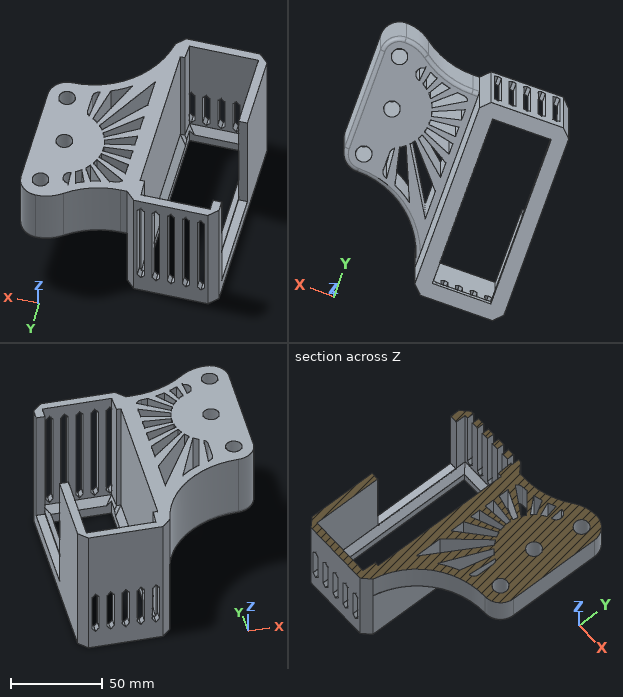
import cadquery as cq
import math

BOX_X = 52.0
BOX_Y = 115.0
HEIGHT = 80.0
CORNER = 5.0
SIDE_WALL = 5.0
END_WALL = 4.6

LEDGE_TOP = 10.0
LEDGE_WIDTH = 4.0
PILLAR_ROOT_X = 44.0
PILLAR_TIP_X = 44.5
RECESS_X = BOX_X - SIDE_WALL
RECESS_Y0 = 13.0
RECESS_Y1 = 100.8

WINDOW_Y0 = 48.0
WINDOW_Y1 = 104.0
SILL_Z = 9.0

VENT_COUNT = 5
VENT_PITCH = 8.5
VENT_WIDTH = 4.0
VENT_POINT = 2.5
VENT_BOTTOM = 11.2
FRONT_VENT_TOP = 38.2
BACK_VENT_TOP = 73.8

BRACKET_DEPTH = 40.0
BRACKET_X1 = 111.0
BRACKET_Y0 = 45.0
BRACKET_Y1 = 125.0
BRACKET_CORNER = 11.0
BRACKET_EMBED = 2.0
SWEEP_RADIUS = 49.0
SHOULDER_RADIUS = 24.0
BOTTOM_FILLET = 2.5

HOLE_DIAMETER = 9.0
HUB_X = 94.0
HUB_RADIUS = 22.0
FAN_X = 87.0
FAN_PITCH = 18.0
FAN_OPENING = 10.3
FAN_SIDE_COUNT = 5
UPPER_RIM = 4.8
LOWER_RIM = 5.0
FAN_X0 = 56.0
FAN_LOWER_X1 = 86.9
FAN_FILLET = 4.0
ROUND_END_X = 84.5
ROUND_END_Y = 108.9
ROUND_END_RADIUS = 3.9
FAN_REACH = 100.0

BRACKET_Z0 = HEIGHT - BRACKET_DEPTH
CORNER_X = BRACKET_X1 - BRACKET_CORNER
MIDDLE_Y = (BRACKET_Y0 + BRACKET_Y1) / 2


def block(x0, x1, y0, y1, z0, z1):
    return cq.Workplane("XY").box(x1 - x0, y1 - y0, z1 - z0, centered=False).translate((x0, y0, z0))


def cavity():
    """Space inside the box, narrowing over the ledge to a straight opening."""
    y0 = END_WALL
    y1 = BOX_Y - END_WALL
    outline = [
        (SIDE_WALL, y0),
        (PILLAR_ROOT_X, y0),
        (PILLAR_TIP_X, RECESS_Y0),
        (RECESS_X, RECESS_Y0),
        (RECESS_X, RECESS_Y1),
        (PILLAR_TIP_X, RECESS_Y1),
        (PILLAR_ROOT_X, y1),
        (SIDE_WALL, y1),
    ]
    rim = cq.Workplane("XY", origin=(0, 0, LEDGE_TOP)).polyline(outline).close()
    upper = rim.extrude(HEIGHT - LEDGE_TOP)
    rim_wire = rim.wire().val()
    foot_wire = rim_wire.offset2D(-LEDGE_WIDTH, "intersection")[0].translate((0, 0, -LEDGE_WIDTH))
    ledge = cq.Workplane(cq.Solid.makeLoft([rim_wire, foot_wire], True))
    opening = block(
        SIDE_WALL + LEDGE_WIDTH, RECESS_X - LEDGE_WIDTH,
        y0 + LEDGE_WIDTH, y1 - LEDGE_WIDTH,
        0, LEDGE_TOP,
    )
    return upper.union(ledge).union(opening)


def vents(wall_y, top):
    """Row of upright slots with pointed ends through the end wall that starts at wall_y."""
    half = VENT_WIDTH / 2
    row = cq.Workplane("XZ", origin=(0, wall_y, 0))
    for index in range(VENT_COUNT):
        x = BOX_X / 2 + (index - (VENT_COUNT - 1) / 2) * VENT_PITCH
        row = row.polyline([
            (x, VENT_BOTTOM),
            (x + half, VENT_BOTTOM + VENT_POINT),
            (x + half, top - VENT_POINT),
            (x, top),
            (x - half, top - VENT_POINT),
            (x - half, VENT_BOTTOM + VENT_POINT),
        ]).close()
    return row.extrude(-END_WALL)


def on_circle(center, radius, degrees):
    angle = math.radians(degrees)
    return center[0] + radius * math.cos(angle), center[1] + radius * math.sin(angle)


def bracket_plate(inset):
    """Bracket outline moved inward by inset along its curved and outer edges."""
    run = CORNER_X - BOX_X
    rise = BRACKET_Y0 - CORNER
    lower_radius = (run**2 + rise**2) / (2 * rise)
    lower_center = (CORNER_X, BRACKET_Y0 - lower_radius)
    lower_start = math.degrees(math.atan2(CORNER - lower_center[1], -run))

    shoulder_center = (CORNER_X, BRACKET_Y1 - SHOULDER_RADIUS)
    sweep_y = BOX_Y - CORNER + SWEEP_RADIUS
    lift = sweep_y - shoulder_center[1]
    sweep_x = CORNER_X - math.sqrt((SWEEP_RADIUS + SHOULDER_RADIUS)**2 - lift**2)
    sweep_center = (sweep_x, sweep_y)
    turn = math.degrees(math.atan2(lift, sweep_x - CORNER_X))

    lower = lower_radius + inset
    sweep = SWEEP_RADIUS + inset
    shoulder = SHOULDER_RADIUS - inset
    corner = BRACKET_CORNER - inset
    low_corner = (CORNER_X, BRACKET_Y0 + BRACKET_CORNER)
    high_corner = (CORNER_X, BRACKET_Y1 - BRACKET_CORNER)

    return (
        cq.Workplane("XY", origin=(0, 0, BRACKET_Z0))
        .moveTo(*on_circle(lower_center, lower, lower_start))
        .threePointArc(
            on_circle(lower_center, lower, (lower_start + 90) / 2),
            on_circle(lower_center, lower, 90),
        )
        .threePointArc(on_circle(low_corner, corner, -45), on_circle(low_corner, corner, 0))
        .lineTo(*on_circle(high_corner, corner, 0))
        .threePointArc(on_circle(high_corner, corner, 45), on_circle(high_corner, corner, 90))
        .threePointArc(
            on_circle(shoulder_center, shoulder, (90 + turn) / 2),
            on_circle(shoulder_center, shoulder, turn),
        )
        .threePointArc(
            on_circle(sweep_center, sweep, (turn - 180 - 90) / 2),
            on_circle(sweep_center, sweep, -90),
        )
        .lineTo(BOX_X - BRACKET_EMBED, BOX_Y - CORNER - inset)
        .close()
        .extrude(BRACKET_DEPTH)
    )


def fan_openings():
    """Radial openings kept clear of the hub, the box and the bracket edge."""
    hub = cq.Workplane("XY").center(HUB_X, MIDDLE_Y).circle(HUB_RADIUS).extrude(HEIGHT)
    upper_half = block(FAN_X0, ROUND_END_X, MIDDLE_Y, BRACKET_Y1, BRACKET_Z0, HEIGHT)
    upper = bracket_plate(UPPER_RIM).cut(hub).intersect(upper_half)
    upper = upper.edges("|Z and <X").edges(">Y").fillet(FAN_FILLET)
    round_end = (
        cq.Workplane("XY", origin=(0, 0, BRACKET_Z0))
        .center(ROUND_END_X, ROUND_END_Y).circle(ROUND_END_RADIUS).extrude(BRACKET_DEPTH)
    )
    lower_half = block(FAN_X0, FAN_LOWER_X1, 0, MIDDLE_Y, BRACKET_Z0, HEIGHT)
    lower = bracket_plate(LOWER_RIM).cut(hub).intersect(lower_half)
    lower = lower.edges("|Z and >X").fillet(FAN_FILLET)

    apex = (FAN_X, MIDDLE_Y)
    wedges = cq.Workplane("XY", origin=(0, 0, BRACKET_Z0))
    for index in range(-FAN_SIDE_COUNT, FAN_SIDE_COUNT + 1):
        middle = 180 + index * FAN_PITCH
        wedges = wedges.polyline([
            apex,
            on_circle(apex, FAN_REACH, middle - FAN_OPENING / 2),
            on_circle(apex, FAN_REACH, middle + FAN_OPENING / 2),
        ]).close()
    return upper.union(round_end).union(lower).intersect(wedges.extrude(BRACKET_DEPTH))


def bracket():
    plate = bracket_plate(0).faces("<Z").edges("not <X").fillet(BOTTOM_FILLET)
    holes = (
        cq.Workplane("XY")
        .pushPoints([
            (HUB_X, MIDDLE_Y),
            (CORNER_X, BRACKET_Y0 + BRACKET_CORNER),
            (CORNER_X, BRACKET_Y1 - BRACKET_CORNER),
        ])
        .circle(HOLE_DIAMETER / 2)
        .extrude(HEIGHT)
    )
    return plate.cut(holes).cut(fan_openings())


box = block(0, BOX_X, 0, BOX_Y, 0, HEIGHT).edges("|Z").chamfer(CORNER)
result = box.union(bracket())
result = result.cut(cavity())
result = result.cut(block(0, SIDE_WALL, WINDOW_Y0, WINDOW_Y1, SILL_Z, HEIGHT))
result = result.cut(vents(0, FRONT_VENT_TOP))
result = result.cut(vents(BOX_Y - END_WALL, BACK_VENT_TOP))